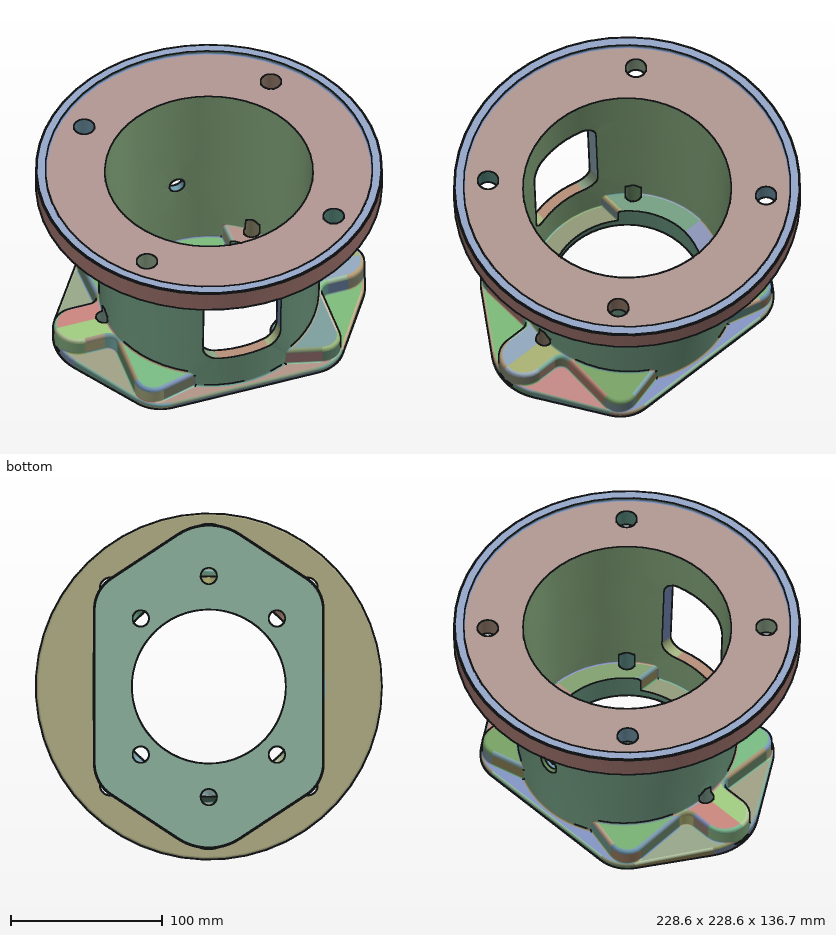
import cadquery as cq
import math

total_height = 136.7
draft_slope = math.tan(math.radians(3))

flange_radius = 114.3
flange_thickness = 16.7
flange_bottom_z = total_height - flange_thickness
flange_edge_round = 1.8
flange_rim_chamfer = 0.7
rim_inner_radius = 108.0
rim_recess_depth = 2.5
recess_corner_round = 1.0
flange_hole_diameter = 13.7
flange_hole_circle_radius = 92.0

barrel_top_radius = 76.1
barrel_bottom_radius = 71.8
bore_top_radius = 68.8
bore_bottom_radius = 64.2
outer_cone = (barrel_bottom_radius, barrel_top_radius, flange_bottom_z)
bore_cone = (bore_bottom_radius, bore_top_radius, total_height)
barrel_root_round = 1.0
barrel_foot_round = 1.1
bore_foot_round = 1.0

pilot_radius = 50.7
plate_ridge_height = 8.5
plate_half_width = 76.0
plate_half_length = 106.8
plate_corner_radius = 25.0
plate_corner_y = 50.7
plate_tip_radius = 37.5
plate_edge_round = 1.5
plate_foot_chamfer = 0.7

pad_ridge_height = 20.1
pad_bottom_z = 4.5
pad_side_y = 71.3
pad_inner_y = 28.8
pad_inner_x = 64.2
pad_corner_radius = 12.8
pad_flank_angle = math.radians(15)
arm_end_y = 107.5
arm_half_width = 16.2
arm_root_radius = 6.5
pad_edge_round = 2.5
pad_foot_round = 1.0

drill_diameter = 10.7
drill_depth = 25.0
drill_tip_height = 3.2
two_bolt_radius = 73.0
four_bolt_radius = 63.5

window_half_width = 27.0
window_bottom_z = 31.8
window_top_z = 104.0
window_corner_radius = 9.8
port_z = 55.8
port_diameter = 10.5
port_mouth_diameter = 15.0
port_mouth_depth = 2.3
badge_face_x = -76.4
badge_half_width = 22.9
badge_bottom_z = 80.2
badge_top_z = 102.2
badge_corner_radius = 3.5
badge_edge_chamfer = 1.1

edge_match_tolerance = 0.11


def cylinder(radius, bottom_z, top_z):
    return cq.Workplane("XY").workplane(offset=bottom_z).circle(radius).extrude(top_z - bottom_z)


def cone_radius(cone, z):
    """Radius at height z of a cone given as (radius at the base, radius at the top, top height)."""
    base_radius, top_radius, top_z = cone
    return base_radius + (top_radius - base_radius) * z / top_z


def make_cone(cone):
    base_radius, top_radius, top_z = cone
    profile = [(0, 0), (base_radius, 0), (top_radius, top_z), (0, top_z)]
    return cq.Workplane("XZ").polyline(profile).close().revolve(360, (0, 0), (0, 1))


def trim_and_round_top(half, ridge_height, round_radius):
    """Slope the top of a half on the +X side down from its X = 0 ridge and round the rim."""
    eave_height = ridge_height - flange_radius * draft_slope
    profile = [(0, 0), (flange_radius, 0), (flange_radius, eave_height), (0, ridge_height)]
    under_slope = cq.Workplane("XZ").polyline(profile).close().extrude(flange_radius, both=True)
    half = half.intersect(under_slope)
    return half.faces(">Z").edges("not(<X)").fillet(round_radius)


def make_flange():
    """Disc with a rim standing around its recessed top face."""
    disc = cylinder(flange_radius, flange_bottom_z, total_height)
    disc = disc.faces("<Z").edges().fillet(flange_edge_round)
    disc = disc.faces(">Z").edges().chamfer(flange_rim_chamfer)
    recess = cylinder(rim_inner_radius, total_height - rim_recess_depth, total_height)
    recess = recess.faces("<Z").edges().fillet(recess_corner_round)
    return disc.cut(recess)


def arc_point(center, radius, angle):
    return (center[0] + radius * math.cos(angle), center[1] + radius * math.sin(angle))


def make_plate():
    """Hexagonal plate with rounded corners and round tips on the Y axis."""
    corner = (plate_half_width - plate_corner_radius, plate_corner_y)
    tip = (0, plate_half_length - plate_tip_radius)
    center_distance = math.dist(corner, tip)
    center_line_angle = math.atan2(tip[1] - corner[1], tip[0] - corner[0])
    normal = center_line_angle - math.acos((plate_corner_radius - plate_tip_radius) / center_distance)

    corner_middle = arc_point(corner, plate_corner_radius, normal / 2)
    corner_end = arc_point(corner, plate_corner_radius, normal)
    tip_start = arc_point(tip, plate_tip_radius, normal)
    tip_shoulder = arc_point(tip, plate_tip_radius, (normal + math.pi / 2) / 2)
    tip_end = (0, plate_half_length)

    def below(point):
        return (point[0], -point[1])

    half = (
        cq.Workplane("XY")
        .moveTo(plate_half_width, -plate_corner_y)
        .lineTo(plate_half_width, plate_corner_y)
        .threePointArc(corner_middle, corner_end)
        .lineTo(*tip_start)
        .threePointArc(tip_shoulder, tip_end)
        .lineTo(*below(tip_end))
        .threePointArc(below(tip_shoulder), below(tip_start))
        .lineTo(*below(corner_end))
        .threePointArc(below(corner_middle), (plate_half_width, -plate_corner_y))
        .close()
        .extrude(plate_ridge_height)
    )
    half = trim_and_round_top(half, plate_ridge_height, plate_edge_round)
    plate = half.union(half.mirror("YZ"))
    return plate.faces("<Z").edges().chamfer(plate_foot_chamfer)


def make_pads():
    """Raised pads at both ends, each with two corner lobes and a central arm."""
    arm = (0, arm_end_y - arm_half_width)
    lobe = (pad_side_y - pad_corner_radius, pad_side_y - pad_corner_radius)
    root = (arm_half_width + arm_root_radius, pad_side_y + arm_root_radius)
    quarter = (
        cq.Workplane("XY", origin=(0, 0, pad_bottom_z))
        .moveTo(0, pad_inner_y)
        .lineTo(pad_inner_x, pad_inner_y)
        .lineTo(*arc_point(lobe, pad_corner_radius, -pad_flank_angle))
        .threePointArc(
            arc_point(lobe, pad_corner_radius, math.pi / 4),
            arc_point(lobe, pad_corner_radius, math.pi / 2),
        )
        .lineTo(root[0], pad_side_y)
        .threePointArc(
            arc_point(root, arm_root_radius, math.radians(225)),
            arc_point(root, arm_root_radius, math.pi),
        )
        .lineTo(arm_half_width, arm[1])
        .threePointArc(arc_point(arm, arm_half_width, math.pi / 4), (0, arm_end_y))
        .close()
        .extrude(pad_ridge_height)
    )
    quarter = trim_and_round_top(quarter, pad_ridge_height, pad_edge_round)
    half = quarter.union(quarter.mirror("YZ"))
    return half.union(half.mirror("XZ"))


def make_base():
    """Plate with pads, their foot edges rounded into the plate."""
    base = make_plate().union(make_pads())
    flank_middle = ((pad_inner_x + pad_side_y) / 2, (pad_inner_y + pad_side_y - pad_corner_radius) / 2)
    side_middle = ((pad_side_y - pad_corner_radius + arm_half_width + arm_root_radius) / 2, pad_side_y)
    inner_middle = (pad_inner_x / 2, pad_inner_y)
    feet = []
    for x, y in (flank_middle, side_middle, inner_middle):
        foot_z = plate_ridge_height - x * draft_slope
        for foot in ((x, y, foot_z), (x, -y, foot_z), (-x, y, foot_z), (-x, -y, foot_z)):
            feet += base.edges(cq.selectors.NearestToPointSelector(foot)).vals()
    return base.newObject(feet).fillet(pad_foot_round)


def round_edges_on_cone(body, cone, bottom_z, top_z, round_radius):
    """Round the edges that lie on a cone within a height band."""

    def lies_on_cone(edge):
        for fraction in (0, 0.3, 0.5, 0.8, 1):
            point = edge.positionAt(fraction)
            off_cone = abs(math.hypot(point.x, point.y) - cone_radius(cone, point.z)) > edge_match_tolerance
            if off_cone or not bottom_z < point.z < top_z:
                return False
        return True

    return body.edges().filter(lies_on_cone).fillet(round_radius)


def drill(x, y):
    """Blind hole from the base with a conical tip."""
    profile = [
        (0, 0),
        (drill_diameter / 2, 0),
        (drill_diameter / 2, drill_depth),
        (0, drill_depth + drill_tip_height),
    ]
    tool = cq.Workplane("XZ").polyline(profile).close().revolve(360, (0, 0), (0, 1))
    return tool.translate((x, y, 0))


def diagonal_points(radius):
    step = radius * math.sqrt(0.5)
    return [(sx * step, sy * step) for sx in (-1, 1) for sy in (-1, 1)]


def make_window():
    """Rounded window through the wall on the +X side."""
    width = 2 * window_half_width
    height = window_top_z - window_bottom_z
    middle = (0, 0, (window_bottom_z + window_top_z) / 2)
    block = cq.Workplane("YZ", origin=middle).rect(width, height).extrude(flange_radius)
    return block.edges("|X").fillet(window_corner_radius)


def make_badge():
    """Flat raised name panel on the -X side."""
    width = 2 * badge_half_width
    height = badge_top_z - badge_bottom_z
    middle = (badge_face_x, 0, (badge_bottom_z + badge_top_z) / 2)
    block = cq.Workplane("YZ", origin=middle).rect(width, height).extrude(-badge_face_x - bore_bottom_radius)
    return block.edges("|X").fillet(badge_corner_radius).faces("<X").edges().chamfer(badge_edge_chamfer)


def make_port():
    """Hole through the -X wall with a countersunk mouth."""
    mouth_x = -cone_radius(outer_cone, port_z)
    outside = cq.Workplane("YZ", origin=(-flange_radius, 0, port_z))
    hole = outside.circle(port_diameter / 2).extrude(flange_radius)
    mouth = (
        cq.Workplane("YZ", origin=(mouth_x, 0, port_z))
        .circle(port_mouth_diameter / 2)
        .workplane(offset=port_mouth_depth)
        .circle(port_diameter / 2)
        .loft()
    )
    return hole.union(mouth)


result = make_flange().union(make_cone(outer_cone)).cut(make_cone(bore_cone)).union(make_base())
result = result.cut(cylinder(pilot_radius, 0, total_height))
foot_band = (pad_bottom_z, drill_depth)
result = round_edges_on_cone(result, outer_cone, *foot_band, barrel_foot_round)
result = round_edges_on_cone(result, bore_cone, *foot_band, bore_foot_round)
top_band = (flange_bottom_z - flange_edge_round, flange_bottom_z + flange_edge_round)
result = round_edges_on_cone(result, outer_cone, *top_band, barrel_root_round)
result = result.union(make_badge().cut(make_cone(bore_cone)))
result = result.cut(make_window()).cut(make_port())
for x, y in diagonal_points(flange_hole_circle_radius):
    hole = cylinder(flange_hole_diameter / 2, flange_bottom_z, total_height)
    result = result.cut(hole.translate((x, y, 0)))
for x, y in diagonal_points(four_bolt_radius) + [(0, two_bolt_radius), (0, -two_bolt_radius)]:
    result = result.cut(drill(x, y))